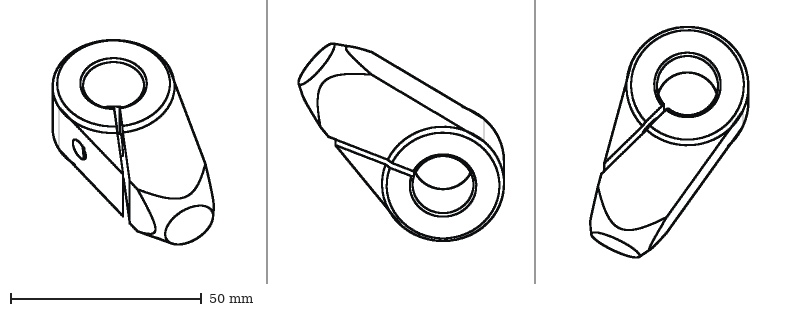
import cadquery as cq
import math

ring_diameter = 32.0
ring_radius = ring_diameter / 2
ring_height = 19.5
ring_chamfer = 1.2
bore_radius = 8.0
bore_chamfer = 0.75

overall_length = 61.0
arm_end = overall_length - ring_radius
arm_thickness = ring_height - 2 * ring_chamfer
flank_angle = math.radians(10)

end_radius = 7.0
cone_angle = math.radians(30)

slot_angle = -20.0
slot_width = 1.45
slot_length = overall_length
screw_diameter = 6.0
screw_distance = 12.95
screw_end_depth = 9.35
screw_inner_length = 3.05

overshoot = 24.4


def make_end_cap():
    """Bevelled top of the ring, standing above the arm."""
    cap = cq.Workplane("XY", origin=(0, 0, arm_thickness / 2)).circle(ring_radius)
    return cap.extrude(ring_chamfer, taper=45)


def make_arm():
    end_y = ring_radius - arm_end * math.tan(flank_angle)
    outline = (
        cq.Workplane("XY")
        .moveTo(0, ring_radius)
        .lineTo(arm_end, end_y)
        .lineTo(arm_end, -end_y)
        .lineTo(0, -ring_radius)
        .threePointArc((-ring_radius, 0), (0, ring_radius))
        .close()
    )
    arm = outline.extrude(arm_thickness / 2, both=True)

    cone_base_radius = end_radius + overall_length * math.tan(cone_angle)
    envelope = (
        cq.Workplane("XY")
        .moveTo(-ring_radius, 0)
        .lineTo(-ring_radius, cone_base_radius)
        .lineTo(arm_end, end_radius)
        .lineTo(arm_end, 0)
        .close()
        .revolve(360, (0, 0, 0), (1, 0, 0))
    )
    return arm.intersect(envelope)


def make_bore():
    half_height = ring_height / 2
    mouth_radius = bore_radius + bore_chamfer
    return (
        cq.Workplane("XZ")
        .moveTo(0, -half_height)
        .lineTo(mouth_radius, -half_height)
        .lineTo(bore_radius, -half_height + bore_chamfer)
        .lineTo(bore_radius, half_height - bore_chamfer)
        .lineTo(mouth_radius, half_height)
        .lineTo(0, half_height)
        .close()
        .revolve(360, (0, 0, 0), (0, 1, 0))
    )


def make_slot():
    slot = cq.Workplane("XY").box(slot_length, slot_width, ring_height, centered=(False, True, True))
    return slot.rotate((0, 0, 0), (0, 0, 1), slot_angle)


def make_screw():
    """Screw crossing the slot, with its flat end lying close to the flank."""
    screw = (
        cq.Workplane("XZ", origin=(screw_distance, -screw_end_depth, 0))
        .circle(screw_diameter / 2)
        .extrude(-screw_end_depth - screw_inner_length)
    )
    return screw.rotate((0, 0, 0), (0, 0, 1), slot_angle)


def make_screw_recess(screw):
    """Opening from the screw's end face straight out through the flank along -Y."""
    end_face = screw.faces("<Y").val()
    return cq.Workplane(cq.Solid.extrudeLinear(end_face, cq.Vector(0, -overshoot, 0)))


end_cap = make_end_cap()
body = make_arm().union(end_cap).union(end_cap.mirror("XY"))
body = body.cut(make_bore()).cut(make_slot())
screw = make_screw()
result = body.cut(make_screw_recess(screw)).union(screw)